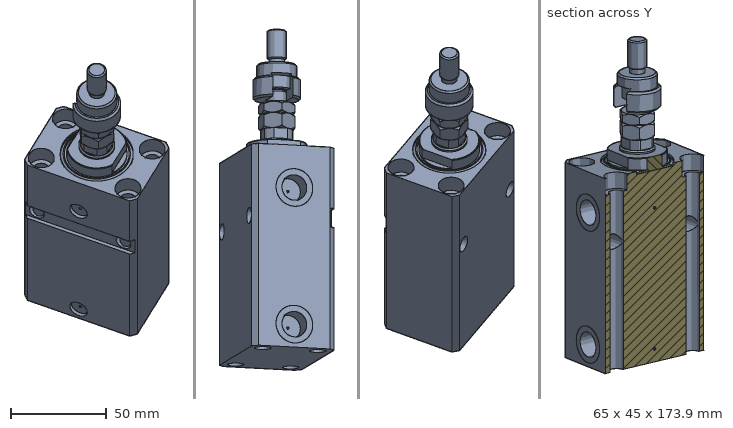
import cadquery as cq
import math

width = 65.0
depth = 45.0
housing_top = 107.3
corner_chamfer = 3.0

bolt_pitch_x = 50.0
bolt_pitch_y = 30.0
bolt_hole_dia = 8.5
bolt_counterbore_dia = 13.5
bolt_counterbore_depth = 9.0

key_slot_height = 10.0
key_slot_depth = 2.0
key_slot_z = 70.1

port_dia = 13.5
port_depth = 12.0
port_spotface_dia = 20.0
port_spotface_depth = 0.1
side_port_heights = (12.2, 84.8)
front_port_dia = 10.0
front_port_depth = 2.0
front_port_heights = (7.2, 84.8)
pilot_dia = 1.2
pilot_extra_depth = 6.0

recess_radius = 19.1
recess_depth = 1.5
flange_rim_radius = 17.6
flange_edge_height = 0.2
groove_outer_radius = 17.0
groove_depth = 0.5
collar_step_height = 0.3
gland_radius = 15.8
gland_flat_width = 26.0
gland_top = 113.5
gland_edge_chamfer = 0.4
lip_radius = 9.4
lip_height = 1.7
lip_chamfer = 0.8

rod_radius = 8.5
rod_flat_width = 15.3
rod_top = 120.8

hex_width = 17.0
lower_hex_height = 8.2
connector_hex_top = 134.9
hex_edge_radius = 8.4
hex_chamfer_angle = math.radians(40)
shank_radius = 5.1
shank_base_radius = 5.7
shank_base_height = 1.0
shank_chamfer = 0.6
shank_chamfer_height = 0.9
head_radius = 8.1
head_bottom = 142.4
head_top = 148.7
neck_length = 0.6
shank_top = head_bottom - neck_length

shell_radius = 12.5
shell_bottom = 136.8
shell_shoulder = 148.3
shell_chamfer = 1.1
shell_slot_width = 11.0
shell_slot_top = 149.6
shell_collar_radius = 10.5
shell_collar_top = 155.7
shell_collar_chamfer = 0.9
stud_neck_radius = 4.1
stud_radius = 5.0
stud_thread_bottom = 158.3
stud_top = 173.9
stud_chamfer_height = 0.65


def revolved(profile):
    """Turn a closed (radius, z) outline about the Z axis."""
    return cq.Workplane("XZ").polyline(profile).close().revolve(360, (0, 0, 0), (0, 1, 0))


def cylinder(radius, bottom, top):
    return cq.Workplane("XY").workplane(offset=bottom).circle(radius).extrude(top - bottom)


def bore_from_left(diameter, reach, z):
    """Cutter running into the -X face."""
    return cq.Workplane("YZ", origin=(-width / 2, 0, z)).circle(diameter / 2).extrude(reach)


def bore_from_front(diameter, reach, x, z):
    """Cutter running into the -Y face."""
    return cq.Workplane("XZ", origin=(x, -depth / 2, z)).circle(diameter / 2).extrude(-reach)


def make_housing():
    body = cq.Workplane("XY").box(width, depth, housing_top, centered=(True, True, False))
    body = body.edges("|Z").chamfer(corner_chamfer)

    body = (
        body.faces(">Z").workplane(origin=(0, 0, housing_top))
        .rarray(bolt_pitch_x, bolt_pitch_y, 2, 2)
        .cboreHole(bolt_hole_dia, bolt_counterbore_dia, bolt_counterbore_depth)
    )

    key_slot = cq.Workplane("XY").box(width, 2 * key_slot_depth, key_slot_height)
    body = body.cut(key_slot.translate((0, -depth / 2, key_slot_z)))
    for x in (-bolt_pitch_x / 2, bolt_pitch_x / 2):
        body = body.cut(bore_from_front(bolt_hole_dia, depth, x, key_slot_z))

    for z in side_port_heights:
        body = body.cut(bore_from_left(port_spotface_dia, port_spotface_depth, z))
        body = body.cut(bore_from_left(port_dia, port_depth, z))
        body = body.cut(bore_from_left(pilot_dia, port_depth + pilot_extra_depth, z))
    for z in front_port_heights:
        body = body.cut(bore_from_front(front_port_dia, front_port_depth, 0, z))
        body = body.cut(bore_from_front(pilot_dia, front_port_depth + pilot_extra_depth, 0, z))

    return body.cut(cylinder(recess_radius, housing_top - recess_depth, housing_top))


def make_gland():
    base = housing_top - recess_depth
    flange = revolved([
        (0, base),
        (recess_radius, base),
        (recess_radius, base + flange_edge_height),
        (flange_rim_radius, housing_top),
        (groove_outer_radius, housing_top),
        (groove_outer_radius, housing_top - groove_depth),
        (gland_radius, housing_top - groove_depth),
        (gland_radius, housing_top + collar_step_height),
        (0, housing_top + collar_step_height),
    ])
    collar = cylinder(gland_radius, base, gland_top).faces(">Z").chamfer(gland_edge_chamfer)
    flats = cq.Workplane("XY").box(
        gland_flat_width, 2 * recess_radius, gland_top, centered=(True, True, False)
    )
    lip = cylinder(lip_radius, base, gland_top + lip_height).faces(">Z").chamfer(lip_chamfer)
    gland = flange.union(collar.intersect(flats)).union(lip)
    return gland.cut(cylinder(rod_radius, base, gland_top + lip_height))


def make_piston_rod():
    rod = cylinder(rod_radius, housing_top - recess_depth, rod_top)
    flats_bottom = gland_top + lip_height
    square = (
        cq.Workplane("XY").workplane(offset=flats_bottom)
        .rect(rod_flat_width, rod_flat_width).extrude(rod_top - flats_bottom)
    )
    return rod.intersect(square.union(cylinder(rod_radius, 0, flats_bottom)))


def hexagon(bottom, top):
    """Hexagon with corners on the X axis and both ends chamfered like a nut."""
    corner_radius = hex_width / math.sqrt(3)
    drop = (corner_radius - hex_edge_radius) * math.tan(hex_chamfer_angle)
    prism = (
        cq.Workplane("XY").workplane(offset=bottom)
        .polygon(6, 2 * corner_radius).extrude(top - bottom)
    )
    envelope = revolved([
        (0, bottom),
        (hex_edge_radius, bottom),
        (corner_radius, bottom + drop),
        (corner_radius, top - drop),
        (hex_edge_radius, top),
        (0, top),
    ])
    return prism.intersect(envelope)


def make_connector():
    hex_joint = rod_top + lower_hex_height
    root_radius = shank_radius - shank_chamfer
    shank_and_head = revolved([
        (0, connector_hex_top),
        (shank_base_radius, connector_hex_top),
        (shank_radius, connector_hex_top + shank_base_height),
        (shank_radius, shank_top - shank_chamfer_height),
        (root_radius, shank_top),
        (root_radius, head_bottom),
        (head_radius, head_bottom),
        (head_radius, head_top),
        (0, head_top),
    ])
    hexes = hexagon(rod_top, hex_joint).union(hexagon(hex_joint, connector_hex_top))
    return hexes.union(shank_and_head)


def make_coupling_shell():
    shell = revolved([
        (0, shell_bottom),
        (shell_radius - shell_chamfer, shell_bottom),
        (shell_radius, shell_bottom + shell_chamfer),
        (shell_radius, shell_shoulder - shell_chamfer),
        (shell_radius - shell_chamfer, shell_shoulder),
        (shell_collar_radius, shell_shoulder),
        (shell_collar_radius, shell_collar_top - shell_collar_chamfer),
        (shell_collar_radius - shell_collar_chamfer, shell_collar_top),
        (stud_neck_radius, shell_collar_top),
        (stud_neck_radius, stud_thread_bottom),
        (stud_radius, stud_thread_bottom + stud_chamfer_height),
        (stud_radius, stud_top - stud_chamfer_height),
        (stud_neck_radius, stud_top),
        (0, stud_top),
    ])
    slot_height = shell_slot_top - shell_bottom
    slot = (
        cq.Workplane("XY")
        .box(shell_radius, shell_slot_width, slot_height, centered=(True, True, False))
        .translate((-shell_radius / 2, 0, shell_bottom))
    )
    shank_hole = cylinder(shell_slot_width / 2, shell_bottom, head_bottom)
    head_pocket = cylinder(head_radius, head_bottom, head_top)
    return shell.cut(slot).cut(shank_hole).cut(head_pocket)


housing = make_housing()
gland = make_gland()
piston_rod = make_piston_rod()
connector = make_connector()
coupling_shell = make_coupling_shell()

result = cq.Compound.makeCompound([
    housing.val(),
    gland.val(),
    piston_rod.val(),
    connector.val(),
    coupling_shell.val(),
])